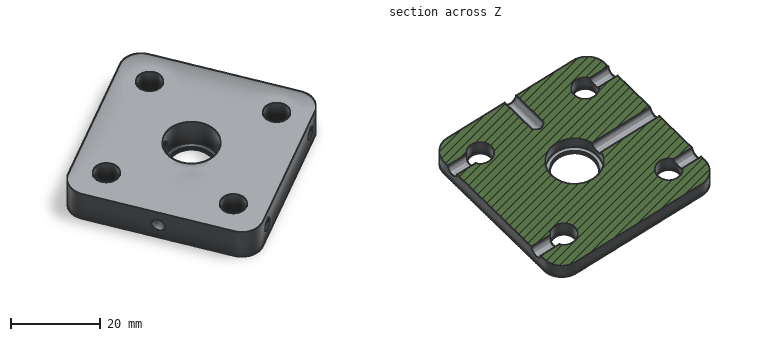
import cadquery as cq
import math

side = 46.0
thickness = 8.0
corner_radius = 5.0

bore_diameter = 13.0
lip_diameter = 11.0
lip_height = 1.0

corner_hole_diameter = 6.1
corner_hole_offset = 15.0

edge_hole_diameter = 3.2
blind_depth = 10.0
drill_point_angle = 118.0

half_side = side / 2
mid_height = thickness / 2
edge_hole_radius = edge_hole_diameter / 2


def vertical_hole(diameter, bottom, x=0, y=0):
    """Cutter running from the given height up to the top face."""
    return cq.Workplane("XY", origin=(x, y, bottom)).circle(diameter / 2).extrude(thickness - bottom)


def edge_hole(start, direction, depth):
    """Flat-ended cutter drilled inward from a side face."""
    return cq.Workplane(cq.Plane(origin=start, normal=direction)).circle(edge_hole_radius).extrude(depth)


def pointed_edge_hole():
    """Blind hole in the -Y face, ending in a drill point."""
    point_length = edge_hole_radius / math.tan(math.radians(drill_point_angle / 2))
    profile = (
        cq.Workplane("XY", origin=(0, -half_side, mid_height))
        .lineTo(edge_hole_radius, 0)
        .lineTo(edge_hole_radius, blind_depth)
        .lineTo(0, blind_depth + point_length)
        .close()
    )
    return profile.revolve(360, (0, 0, 0), (0, 1, 0))


result = (
    cq.Workplane("XY")
    .rect(side, side)
    .extrude(thickness)
    .edges("|Z")
    .fillet(corner_radius)
)

result = result.cut(vertical_hole(bore_diameter, lip_height))
result = result.cut(vertical_hole(lip_diameter, 0))

for x_sign in (-1, 1):
    for y_sign in (-1, 1):
        y = y_sign * corner_hole_offset
        x = x_sign * corner_hole_offset
        result = result.cut(vertical_hole(corner_hole_diameter, 0, x, y))
        start = (x_sign * half_side, y, mid_height)
        result = result.cut(edge_hole(start, (-x_sign, 0, 0), half_side - corner_hole_offset))

result = result.cut(edge_hole((-half_side, 0, mid_height), (1, 0, 0), half_side))

result = result.cut(pointed_edge_hole())